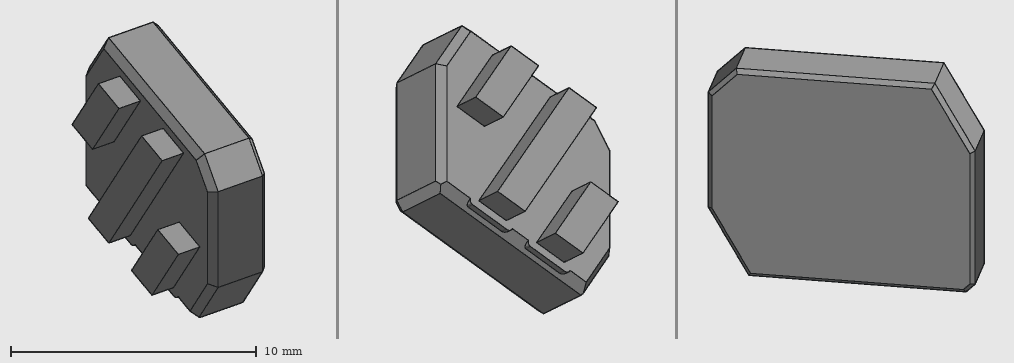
import cadquery as cq
import math

width = 11.04
height = 9.23
overall_depth = 3.55
bar_height = 0.99
thickness = overall_depth - bar_height
front_bevel = 0.32
bottom_bevel = 0.4
back_bevel = 0.19

bottom_left_cut = 0.38

bottom_right_cut = (1.68, 2.93)
top_right_cut = (1.16, 1.16)
top_left_cut = (1.67, 2.89)

bar_width = 1.75
bar_slope = math.tan(math.radians(30))
bar_base = 0.59
middle_bar_x = 2.36
middle_bar_top = 8.48
right_bar_x = 6.05
right_bar_top = 4.49
left_bar_x = 0.97
left_bar_base = 4.57

lip_base = 0.15
lip_overhang = 0.53
lip_left_radius = 0.13
lip_right_radius = bar_base - lip_base

def plate():
    """Flat plate with cut corners and bevelled front and back rims."""
    outline = [
        (0, 0),
        (width - bottom_right_cut[0], 0),
        (width, bottom_right_cut[1]),
        (width, height - top_right_cut[1]),
        (width - top_right_cut[0], height),
        (top_left_cut[0], height),
        (0, height - top_left_cut[1]),
    ]
    body = cq.Workplane("XZ").polyline(outline).close().extrude(thickness)

    body = body.faces("<Y").chamfer(front_bevel)
    wedge = (
        cq.Workplane("YZ")
        .polyline([(-thickness, 0), (-thickness + bottom_bevel, 0), (-thickness, bottom_bevel)])
        .close()
        .extrude(width)
    )
    body = body.cut(wedge)

    corner = (
        cq.Workplane("XZ")
        .polyline([(0, 0), (bottom_left_cut, 0), (0, bottom_left_cut)])
        .close()
        .extrude(thickness)
    )
    return body.cut(corner).faces(">Y").chamfer(back_bevel)

def bar(x, base, top):
    """Parallelogram bar whose lower left corner is at (x, base)."""
    run = (top - base) * bar_slope
    outline = [(x, base), (x + bar_width, base), (x + run + bar_width, top), (x + run, top)]
    return (
        cq.Workplane("XZ", origin=(0, -thickness, 0))
        .polyline(outline)
        .close()
        .extrude(bar_height)
    )

def lip(bar_x):
    """Round-cornered lip below the bar whose lower left corner is at bar_x."""
    left = bar_x - lip_overhang
    arc_center_x = bar_x + bar_width
    corner_inset = lip_left_radius * (1 - math.sqrt(0.5))
    arc_diagonal = lip_right_radius * math.sqrt(0.5)
    return (
        cq.Workplane("XZ", origin=(0, -thickness + bottom_bevel, 0))
        .moveTo(left, bar_base)
        .lineTo(left, lip_base + lip_left_radius)
        .threePointArc(
            (left + corner_inset, lip_base + corner_inset),
            (left + lip_left_radius, lip_base),
        )
        .lineTo(arc_center_x, lip_base)
        .threePointArc(
            (arc_center_x + arc_diagonal, bar_base - arc_diagonal),
            (arc_center_x + lip_right_radius, bar_base),
        )
        .close()
        .extrude(bottom_bevel)
    )

result = plate()
for low_bar_x in (middle_bar_x, right_bar_x):
    result = result.union(lip(low_bar_x))

result = result.union(bar(left_bar_x, left_bar_base, middle_bar_top))
result = result.union(bar(middle_bar_x, bar_base, middle_bar_top))
result = result.union(bar(right_bar_x, bar_base, right_bar_top))